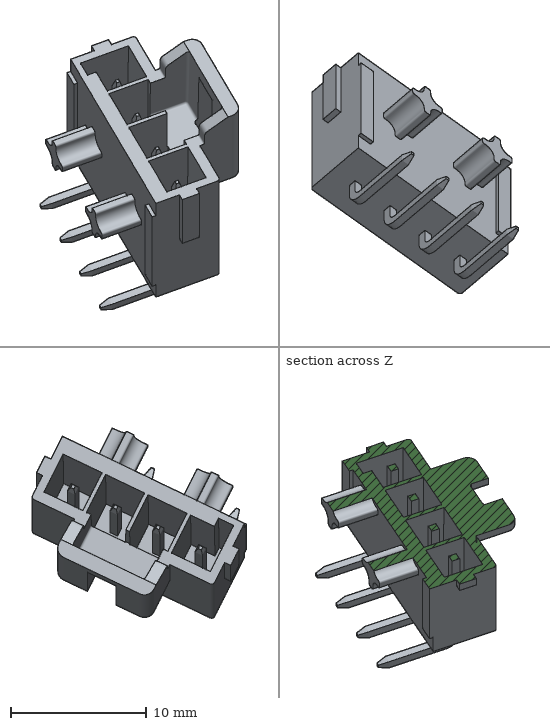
import cadquery as cq
import math


PIN_COUNT = 4
PITCH = 3.5

BODY_WIDTH = 15.0
BODY_DEPTH = 5.25
BODY_HEIGHT = 11.15
BODY_CORNER_RADIUS = 0.25

RIB_THICKNESS = 0.5
RIB_WIDTH = 1.4
RIB_HEIGHT = 5.2
RIB_BOTTOM_Z = BODY_HEIGHT - RIB_HEIGHT

PAD_WIDTH = 1.22
PAD_THICKNESS = 0.3
PAD_END_GAP = 1.45

PEG_COUNT = 2
PEG_SPACING = 2 * PITCH
PEG_LENGTH = 3.2
PEG_SPAN = 2.96
PEG_ARM_WIDTH = 0.65
PEG_ROOT_RADIUS = 0.82
PEG_TIP_RADIUS = 0.16
PEG_Z = RIB_BOTTOM_Z

POCKET_SIZE = 3.2
POCKET_FRONT_Y = 1.2
POCKET_REAR_Y = POCKET_FRONT_Y + POCKET_SIZE
POCKET_FLOOR_Z = 2.0
POCKET_DRAFT = 0.09
KEY_WIDTH = 1.24
KEY_DEPTH = 0.7

LATCH_WIDTH = 7.85
LATCH_REACH = 3.43
LATCH_RISE = 2.2
LATCH_CORNER_RADIUS = 0.8
LATCH_WALL = 1.14
CHEEK_EDGE = 3.06
CHEEK_SLOPE_DROP = 0.94
CHEEK_NOSE_RADIUS = 0.5
CHEEK_FOOT_RADIUS = 0.12
LATCH_REAR_Y = BODY_DEPTH + LATCH_REACH
LATCH_TOP_Z = BODY_HEIGHT + LATCH_RISE

RECESS_WIDTH = 5.94
RECESS_DEPTH = 6.1
RECESS_FLOOR_Z = LATCH_TOP_Z - RECESS_DEPTH
RECESS_REAR_DRAFT = 0.11
RECESS_RADIUS = 0.2
WINDOW_WIDTH = 2.35
WINDOW_TOP_DROP = 1.14
WINDOW_FLOOR_REACH = 0.4
WINDOW_CORNER_CHAMFER = 0.12

PIN_SIZE = 0.64
PIN_Y = 2.785
PIN_DROP = 2.28
PIN_FRONT_REACH = 3.48
PIN_RECESS = 1.5
PIN_TOP_Z = BODY_HEIGHT - PIN_RECESS
PIN_BEND_RADIUS = 0.5
PIN_TIP_LENGTH = 0.8
PIN_TIP_SIZE = 0.26


def box(x_range, y_range, z_range):
    """Axis-aligned box between the given limits."""
    size = [high - low for low, high in (x_range, y_range, z_range)]
    corner = (x_range[0], y_range[0], z_range[0])
    return cq.Workplane("XY").box(*size, centered=False).translate(corner)


def row(count, spacing):
    """Evenly spaced X positions centred on zero."""
    return [(i - (count - 1) / 2) * spacing for i in range(count)]


def make_body():
    half = BODY_WIDTH / 2
    body = box((-half, half), (0, BODY_DEPTH), (0, BODY_HEIGHT))
    body = body.edges("|Z and >Y").fillet(BODY_CORNER_RADIUS)
    rib_y = ((BODY_DEPTH - RIB_WIDTH) / 2, (BODY_DEPTH + RIB_WIDTH) / 2)
    rib_half = half + RIB_THICKNESS
    body = body.union(box((-rib_half, rib_half), rib_y, (RIB_BOTTOM_Z, BODY_HEIGHT)))
    pad_z = (PAD_END_GAP, BODY_HEIGHT - PAD_END_GAP)
    for pad_left in (-half, half - PAD_WIDTH):
        body = body.union(box((pad_left, pad_left + PAD_WIDTH), (-PAD_THICKNESS, 0), pad_z))
    return body


def make_peg(x):
    """Cross-section with concave arcs between four rounded arms."""
    tip = PEG_SPAN / 2
    arm = PEG_ARM_WIDTH / 2
    arc_end = arm + PEG_ROOT_RADIUS
    arc_mid = arc_end - PEG_ROOT_RADIUS * math.cos(math.pi / 4)
    outline = cq.Workplane("XZ", origin=(x, 0, PEG_Z)).moveTo(tip, -arm)
    for turn in range(4):
        cos_turn = round(math.cos(turn * math.pi / 2))
        sin_turn = round(math.sin(turn * math.pi / 2))
        quarter = [(tip, arm), (arc_end, arm), (arc_mid, arc_mid), (arm, arc_end), (arm, tip)]
        points = [(u * cos_turn - v * sin_turn, u * sin_turn + v * cos_turn) for u, v in quarter]
        arm_corner, arc_start, arc_middle, arc_finish, next_corner = points
        outline = outline.lineTo(*arm_corner).lineTo(*arc_start)
        outline = outline.threePointArc(arc_middle, arc_finish).lineTo(*next_corner)
    peg = outline.close().extrude(PEG_LENGTH)
    tip_edges = peg.faces("<X or >X or <Z or >Z").edges("|Y")
    return tip_edges.fillet(PEG_TIP_RADIUS)


def make_latch():
    """Solid latch block with its sloped, rounded cheek profile."""
    wall_y = LATCH_REAR_Y - LATCH_WALL
    edge_y = LATCH_REAR_Y - CHEEK_EDGE
    inside_y = POCKET_REAR_Y
    profile = [
        (LATCH_REAR_Y, RIB_BOTTOM_Z),
        (LATCH_REAR_Y, LATCH_TOP_Z),
        (wall_y, LATCH_TOP_Z),
        (edge_y, LATCH_TOP_Z - CHEEK_SLOPE_DROP),
        (edge_y, BODY_HEIGHT),
        (inside_y, BODY_HEIGHT),
        (inside_y, RIB_BOTTOM_Z),
    ]
    latch = cq.Workplane("YZ").polyline(profile).close().extrude(LATCH_WIDTH / 2, both=True)
    latch = latch.edges("|Z and >Y").fillet(LATCH_CORNER_RADIUS)
    nose_z = LATCH_TOP_Z - CHEEK_SLOPE_DROP
    latch = latch.edges(cq.NearestToPointSelector((0, edge_y, nose_z))).fillet(CHEEK_NOSE_RADIUS)
    return latch.edges(cq.NearestToPointSelector((0, edge_y, BODY_HEIGHT))).fillet(CHEEK_FOOT_RADIUS)


def make_recess():
    """Space inside the latch frame, with a sloped rear wall and rounded inner edges."""
    wall_y = LATCH_REAR_Y - LATCH_WALL
    front_y = POCKET_REAR_Y - POCKET_DRAFT
    profile = [
        (front_y, RECESS_FLOOR_Z),
        (wall_y - RECESS_REAR_DRAFT, RECESS_FLOOR_Z),
        (wall_y, LATCH_TOP_Z),
        (front_y, LATCH_TOP_Z),
    ]
    recess = cq.Workplane("YZ").polyline(profile).close().extrude(RECESS_WIDTH / 2, both=True)
    floor_sides = recess.faces("<Z").edges("|Y")
    return recess.faces(">Y").edges("not >Z").add(floor_sides).fillet(RECESS_RADIUS)


def make_window():
    """Slot through the rear wall of the frame and down through its floor."""
    half = WINDOW_WIDTH / 2
    front_y = LATCH_REAR_Y - LATCH_WALL - WINDOW_FLOOR_REACH
    window_z = (RIB_BOTTOM_Z, LATCH_TOP_Z - WINDOW_TOP_DROP)
    window = box((-half, half), (front_y, LATCH_REAR_Y), window_z)
    return window.edges("|Z and <Y").chamfer(WINDOW_CORNER_CHAMFER)


def tapered_well(x_range, y_range):
    """Rectangular well sunk from the top face, drafted inwards to the pocket floor."""
    depth = BODY_HEIGHT - POCKET_FLOOR_Z
    width = x_range[1] - x_range[0]
    length = y_range[1] - y_range[0]
    return (
        cq.Workplane("XY", origin=(sum(x_range) / 2, sum(y_range) / 2, BODY_HEIGHT))
        .rect(width, length)
        .workplane(offset=-depth)
        .rect(width - 2 * POCKET_DRAFT, length - 2 * POCKET_DRAFT)
        .loft(ruled=True)
    )


def make_pocket(x):
    half = POCKET_SIZE / 2
    return tapered_well((x - half, x + half), (POCKET_FRONT_Y, POCKET_REAR_Y))


def make_key_slot(pocket_x):
    """Polarising slot at the front left corner of the first pocket."""
    left = pocket_x - POCKET_SIZE / 2
    return tapered_well((left, left + KEY_WIDTH), (POCKET_FRONT_Y - KEY_DEPTH, PIN_Y))


def make_tip(plane):
    """Tapered pin end, growing along the normal of the given plane."""
    return (
        cq.Workplane(plane)
        .rect(PIN_SIZE, PIN_SIZE)
        .workplane(offset=PIN_TIP_LENGTH)
        .rect(PIN_TIP_SIZE, PIN_TIP_SIZE)
        .loft(ruled=True)
    )


def make_pin(x):
    """Square pin standing in its pocket and bent forward below the body."""
    half = PIN_SIZE / 2
    side_x = (x - half, x + half)
    leg_z = half - PIN_DROP
    top_start_z = PIN_TOP_Z - PIN_TIP_LENGTH
    front_start_y = PIN_TIP_LENGTH - PIN_FRONT_REACH
    post = box(side_x, (PIN_Y - half, PIN_Y + half), (-PIN_DROP, top_start_z))
    leg = box(side_x, (front_start_y, PIN_Y + half), (-PIN_DROP, PIN_SIZE - PIN_DROP))
    pin = post.union(leg)
    outer_corner = (x, PIN_Y + half, -PIN_DROP)
    inner_corner = (x, PIN_Y - half, PIN_SIZE - PIN_DROP)
    pin = pin.edges(cq.NearestToPointSelector(outer_corner)).fillet(PIN_BEND_RADIUS + PIN_SIZE)
    pin = pin.edges(cq.NearestToPointSelector(inner_corner)).fillet(PIN_BEND_RADIUS)
    top_plane = cq.Plane(origin=(x, PIN_Y, top_start_z), xDir=(1, 0, 0), normal=(0, 0, 1))
    front_plane = cq.Plane(origin=(x, front_start_y, leg_z), xDir=(1, 0, 0), normal=(0, -1, 0))
    return pin.union(make_tip(top_plane)).union(make_tip(front_plane))


pin_positions = row(PIN_COUNT, PITCH)

result = make_body().union(make_latch())
result = result.cut(make_recess()).cut(make_window())
for pin_x in pin_positions:
    result = result.cut(make_pocket(pin_x))
result = result.cut(make_key_slot(pin_positions[0]))
for peg_x in row(PEG_COUNT, PEG_SPACING):
    result = result.union(make_peg(peg_x))
for pin_x in pin_positions:
    result = result.union(make_pin(pin_x))